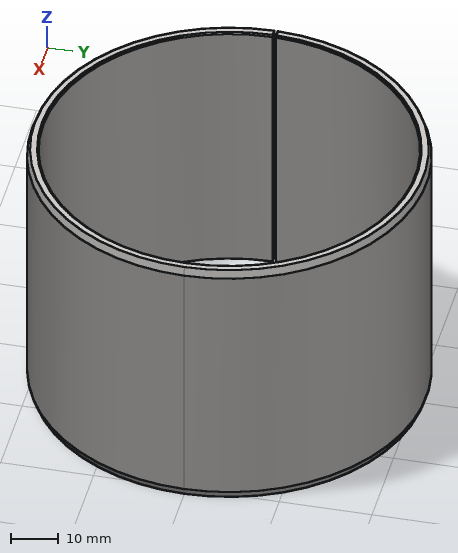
import cadquery as cq
import math

outer_diameter = 85.0
wall = 2.5
length = 60.0
outer_chamfer_height = 1.8
outer_chamfer_angle = 20.0
inner_chamfer = 0.3
split_width = 0.8

outer_radius = outer_diameter / 2
inner_radius = outer_radius - wall
half_length = length / 2
outer_chamfer_depth = outer_chamfer_height * math.tan(math.radians(outer_chamfer_angle))


def bush_body():
    """Revolve the chamfered wall section about the Z axis, centred on the origin."""
    outer_edge_z = half_length - outer_chamfer_height
    inner_edge_z = half_length - inner_chamfer
    face_outer_radius = outer_radius - outer_chamfer_depth
    face_inner_radius = inner_radius + inner_chamfer
    section = (
        cq.Workplane("XZ")
        .moveTo(inner_radius, -inner_edge_z)
        .lineTo(face_inner_radius, -half_length)
        .lineTo(face_outer_radius, -half_length)
        .lineTo(outer_radius, -outer_edge_z)
        .lineTo(outer_radius, outer_edge_z)
        .lineTo(face_outer_radius, half_length)
        .lineTo(face_inner_radius, half_length)
        .lineTo(inner_radius, inner_edge_z)
        .close()
    )
    return section.revolve(360, (0, 0, 0), (0, 1, 0))


def split_cutter():
    """Full-length slot through the wall on the -X side, from the XZ plane towards +Y."""
    slot = cq.Workplane("XY").box(outer_radius, split_width, length)
    return slot.translate((-outer_radius, split_width / 2, 0))


result = bush_body().cut(split_cutter())